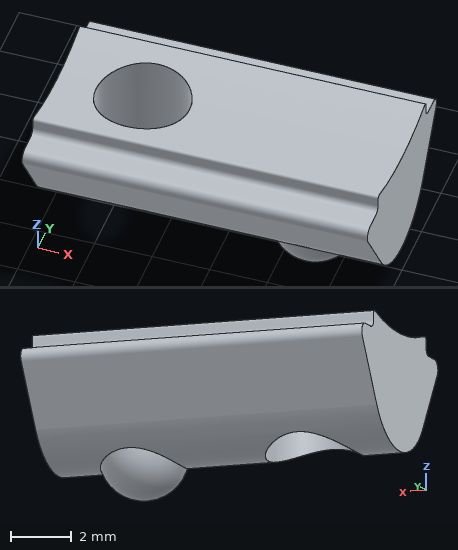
import cadquery as cq
import math

length = 12.0
width = 7.12
overall_height = 5.3
body_height = 4.3

neck_width = 4.92
neck_height = 0.6
top_sag = 0.34
top_radius = 8.28
neck_edge_radius = 0.11
neck_root_radius = 0.24

flange_radius = 0.31
bottom_radius = 2.58

hole_diameter = 3.24
hole_x = length / 4
ball_radius = 1.5
ball_x = 3 * length / 4

flange_y = width / 2 - flange_radius
flange_z = -neck_height - flange_radius
bottom_z = bottom_radius - body_height

centre_distance = math.hypot(flange_y, flange_z - bottom_z)
flank_normal = math.atan2(flange_z - bottom_z, flange_y) - math.acos(
    (bottom_radius - flange_radius) / centre_distance
)

top_centre_z = top_radius - top_sag
edge_y = neck_width / 2 - neck_edge_radius
edge_z = top_centre_z - math.sqrt((top_radius + neck_edge_radius) ** 2 - edge_y**2)
edge_to_top = math.atan2(top_centre_z - edge_z, -edge_y)


def on_circle(centre_y, centre_z, radius, angle):
    return centre_y + radius * math.cos(angle), centre_z + radius * math.sin(angle)


def mirrored(point):
    return -point[0], point[1]


def arc_points(centre_y, centre_z, radius, start, end):
    """Start, middle and end points of an arc."""
    return [on_circle(centre_y, centre_z, radius, a) for a in (start, (start + end) / 2, end)]


def make_body():
    """Extrude the symmetric cross-section along X."""
    edge = arc_points(edge_y, edge_z, neck_edge_radius, edge_to_top, 0)
    root = arc_points(
        neck_width / 2 + neck_root_radius,
        -neck_height + neck_root_radius,
        neck_root_radius,
        math.pi,
        1.5 * math.pi,
    )
    flange = arc_points(flange_y, flange_z, flange_radius, math.pi / 2, flank_normal)
    flank_end = on_circle(0, bottom_z, bottom_radius, flank_normal)
    arcs = [edge, root, flange]

    profile = cq.Workplane("YZ").moveTo(*mirrored(edge[0]))
    profile = profile.threePointArc((0, -top_sag), edge[0])
    for start, middle, end in arcs:
        profile = profile.lineTo(*start) if start != edge[0] else profile
        profile = profile.threePointArc(middle, end)
    profile = profile.lineTo(*flank_end)
    profile = profile.threePointArc((0, -body_height), mirrored(flank_end))
    for start, middle, end in reversed(arcs):
        profile = profile.lineTo(*mirrored(end))
        profile = profile.threePointArc(mirrored(middle), mirrored(start))
    return profile.close().extrude(length)


def make_ball():
    """Ball that projects below the rounded bottom."""
    ball_z = ball_radius - overall_height
    return cq.Workplane("XY").sphere(ball_radius).translate((ball_x, 0, ball_z))


def make_hole():
    """Vertical through hole."""
    base = cq.Workplane("XY", origin=(hole_x, 0, -overall_height))
    return base.circle(hole_diameter / 2).extrude(2 * overall_height)


result = make_body().union(make_ball()).cut(make_hole())